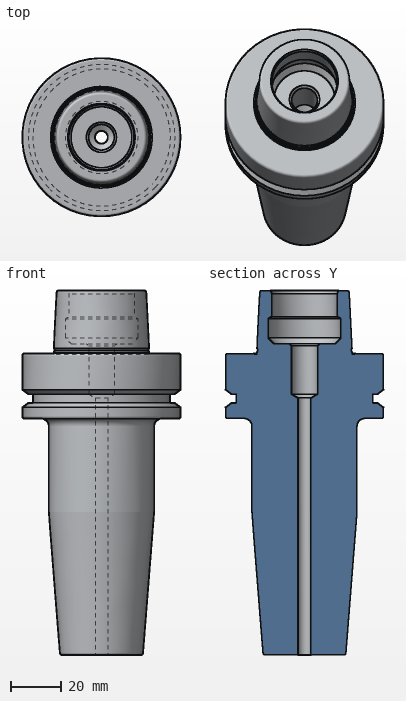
import math

import cadquery as cq


shank_height = 25.0
shank_base_radius = 19.0
shank_base_height = 2.1
shank_slope = 0.05
shank_rim_fillet = 1.0

neck_radius = 18.65
neck_height = 1.3
flare_radius = 19.05
flare_height = 0.35
relief_floor_radius = 19.55
relief_rim_radius = 20.2
relief_depth = 0.35

flange_radius = 31.5
flange_height = 26.0
flange_edge_fillet = 1.0
groove_center_depth = 18.0
groove_mouth_width = 7.0
groove_floor_radius = 27.3
groove_floor_width = 3.4
groove_flank_inner_radius = 29.1
groove_corner_fillet = 0.35

body_length = 120.0
barrel_radius = 21.0
barrel_end_depth = 63.0
barrel_root_fillet = 3.0
nose_taper_angle = 4.5
nose_edge_fillet = 1.0

bore_mouth_radius = 13.4
bore_radius = 12.95
bore_chamfer_angle = 20.0
clamp_shoulder_depth = 10.4
clamp_shoulder_angle = 60.0
clamp_chamber_radius = 14.4
clamp_chamber_end_depth = 18.9
floor_radius = 12.1
screw_mouth_radius = 6.0
screw_core_radius = 5.1
screw_depth = 20.0
drill_tip_half_angle = 59.0
through_radius = 2.5


def revolve_profile(profile):
    """Close an X-Z half profile and turn it about the Z axis."""
    return profile.close().revolve(360, (0, 0, 0), (0, 1, 0))


def make_shank():
    tip_radius = shank_base_radius - shank_slope * (shank_height - shank_base_height)
    profile = (
        cq.Workplane("XZ")
        .moveTo(0, -relief_depth)
        .lineTo(flare_radius, -relief_depth)
        .lineTo(flare_radius, flare_height)
        .lineTo(neck_radius, neck_height)
        .lineTo(shank_base_radius, shank_base_height)
        .lineTo(tip_radius, shank_height)
        .lineTo(0, shank_height)
    )
    return revolve_profile(profile).faces(">Z").edges().fillet(shank_rim_fillet)


def make_relief():
    """Shallow ring sunk into the seating face around the shank."""
    profile = (
        cq.Workplane("XZ")
        .moveTo(flare_radius, 0)
        .lineTo(flare_radius, -relief_depth)
        .lineTo(relief_floor_radius, -relief_depth)
        .lineTo(relief_rim_radius, 0)
    )
    return revolve_profile(profile)


def make_flange():
    flange = cq.Workplane("XY").circle(flange_radius).extrude(-flange_height)
    flange = flange.edges().fillet(flange_edge_fillet)
    return flange.cut(make_groove()).cut(make_relief())


def make_groove():
    """V-mouthed groove whose flat side walls lead to a filleted floor."""
    upper_mouth = -groove_center_depth + groove_mouth_width / 2
    lower_mouth = -groove_center_depth - groove_mouth_width / 2
    upper_wall = -groove_center_depth + groove_floor_width / 2
    lower_wall = -groove_center_depth - groove_floor_width / 2
    profile = (
        cq.Workplane("XZ")
        .moveTo(groove_floor_radius, upper_wall)
        .lineTo(groove_flank_inner_radius, upper_wall)
        .lineTo(flange_radius, upper_mouth)
        .lineTo(flange_radius, lower_mouth)
        .lineTo(groove_flank_inner_radius, lower_wall)
        .lineTo(groove_floor_radius, lower_wall)
    )
    floor_edges = cq.selectors.RadiusNthSelector(0)
    return revolve_profile(profile).edges(floor_edges).fillet(groove_corner_fillet)


def make_nose():
    taper_length = body_length - barrel_end_depth
    tip_radius = barrel_radius - taper_length * math.tan(math.radians(nose_taper_angle))
    profile = (
        cq.Workplane("XZ")
        .moveTo(0, -flange_height)
        .lineTo(barrel_radius + barrel_root_fillet, -flange_height)
        .radiusArc((barrel_radius, -flange_height - barrel_root_fillet), -barrel_root_fillet)
        .lineTo(barrel_radius, -barrel_end_depth)
        .lineTo(tip_radius, -body_length)
        .lineTo(0, -body_length)
    )
    return revolve_profile(profile).faces("<Z").edges().fillet(nose_edge_fillet)


def make_bore():
    chamfer_depth = (bore_mouth_radius - bore_radius) / math.tan(math.radians(bore_chamfer_angle))
    shoulder_top = shank_height - clamp_shoulder_depth
    shoulder_run = clamp_chamber_radius - bore_radius
    shoulder_height = shoulder_run / math.tan(math.radians(clamp_shoulder_angle))
    chamber_end = shank_height - clamp_chamber_end_depth
    floor = chamber_end - (clamp_chamber_radius - floor_radius)
    screw_chamfer = screw_mouth_radius - screw_core_radius
    drill_tip = (screw_core_radius - through_radius) / math.tan(math.radians(drill_tip_half_angle))
    profile = (
        cq.Workplane("XZ")
        .moveTo(0, shank_height)
        .lineTo(bore_mouth_radius, shank_height)
        .lineTo(bore_radius, shank_height - chamfer_depth)
        .lineTo(bore_radius, shoulder_top)
        .lineTo(clamp_chamber_radius, shoulder_top - shoulder_height)
        .lineTo(clamp_chamber_radius, chamber_end)
        .lineTo(floor_radius, floor)
        .lineTo(screw_mouth_radius, floor)
        .lineTo(screw_core_radius, floor - screw_chamfer)
        .lineTo(screw_core_radius, floor - screw_depth)
        .lineTo(through_radius, floor - screw_depth - drill_tip)
        .lineTo(through_radius, -body_length)
        .lineTo(0, -body_length)
    )
    return revolve_profile(profile)


result = make_flange().union(make_shank()).union(make_nose()).cut(make_bore())